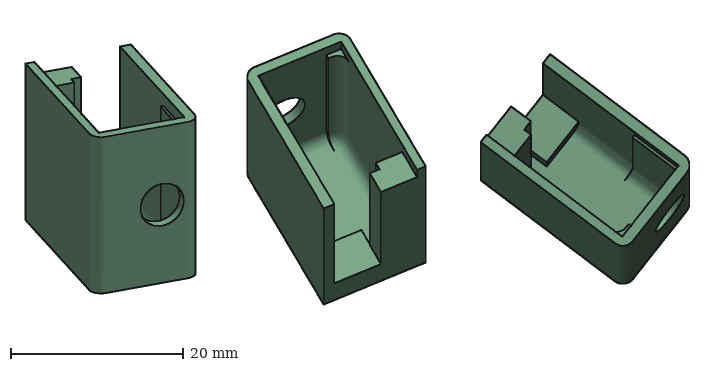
import cadquery as cq

length = 21.2
width = 13.23
height = 20.3
outer_corner_radius = 1.5

front_wall = 1.12
back_wall = 1.38
end_wall = 1.3
floor_thickness = 1.3
inner_radius = 1.46

cavity_front = front_wall
cavity_back = width - back_wall
cavity_end = length - end_wall

rim_depth = 1.53
shelf_z = height - rim_depth
back_pad_start = 13.45
back_pad_thickness = 0.35
end_pad_thickness = 0.53
end_pad_edge = 3.03
back_pad_face = cavity_back - back_pad_thickness
end_pad_face = cavity_end - end_pad_thickness

sill_length = 5.25
sill_front = 5.75
sill_z = 3.58
post_length = 3.9
post_notch_start = 2.9
post_notch_edge = 4.55
post_back = 5.8

opening_diameter = 5.43
opening_y = 8.55
opening_z = height / 2


def block(x_range, y_range, z_range):
    """Axis-aligned box spanning the given (low, high) ranges."""
    lows, highs = zip(x_range, y_range, z_range)
    sizes = [high - low for low, high in zip(lows, highs)]
    return cq.Workplane("XY").box(*sizes, centered=False).translate(lows)


def make_body():
    body = block((0, length), (0, width), (0, height))
    return body.edges("|Z and >X").fillet(outer_corner_radius)


def make_cavity():
    """Space between the walls, narrowed by the pads and rounded at the floor."""
    depth = (floor_thickness, shelf_z)

    beside_back_pad = block((0, back_pad_start), (end_pad_edge, cavity_back), depth)
    beside_back_pad = beside_back_pad.edges("<Z and >Y").fillet(inner_radius)

    middle = block((0, cavity_end), (end_pad_edge, back_pad_face), depth)
    middle = middle.edges("<Z and (>X or >Y)").fillet(inner_radius)

    beside_end_pad = block((0, end_pad_face), (cavity_front, end_pad_edge), depth)
    beside_end_pad = beside_end_pad.edges(
        "(<Z and (>X or <Y)) or (|Z and >X and <Y)"
    ).fillet(inner_radius)

    above_pads = block((0, cavity_end), (cavity_front, cavity_back), (shelf_z, height))
    return above_pads.union(middle).union(beside_back_pad).union(beside_end_pad)


def make_sill():
    return block((0, sill_length), (sill_front, cavity_back), (0, sill_z))


def make_post():
    narrow = block((0, post_notch_start), (0, post_back), (0, shelf_z))
    wide = block((0, post_length), (0, post_notch_edge), (0, shelf_z))
    return narrow.union(wide)


def make_opening():
    return (
        cq.Workplane("YZ", origin=(cavity_end - inner_radius, opening_y, opening_z))
        .circle(opening_diameter / 2)
        .extrude(end_wall + inner_radius)
    )


result = (
    make_body()
    .cut(make_cavity())
    .union(make_sill())
    .union(make_post())
    .cut(make_opening())
)